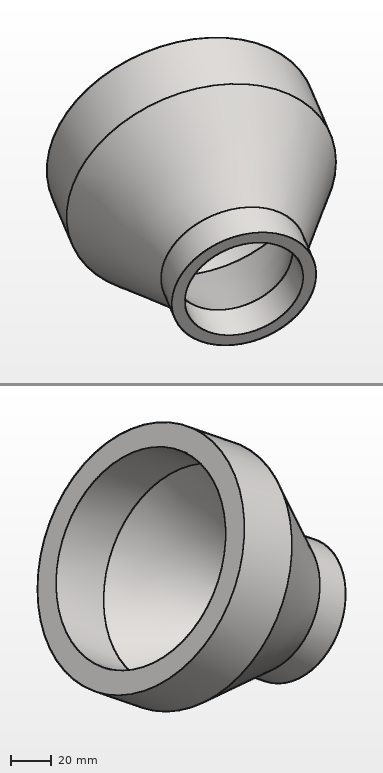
import cadquery as cq

large_outer_diameter = 140.0
large_bore_diameter = 114.7
small_outer_diameter = 75.0
small_bore_diameter = 61.5

large_end_length = 35.0
cone_length = 56.0
small_end_length = 19.0

cone_end = large_end_length + cone_length
total_length = cone_end + small_end_length


def reducer_body(large_diameter, small_diameter):
    """Solid of two cylinders joined by a cone, revolved about X."""
    large_radius = large_diameter / 2
    small_radius = small_diameter / 2
    return (
        cq.Workplane("XY")
        .moveTo(0, 0)
        .lineTo(0, large_radius)
        .lineTo(large_end_length, large_radius)
        .lineTo(cone_end, small_radius)
        .lineTo(total_length, small_radius)
        .lineTo(total_length, 0)
        .close()
        .revolve(360, (0, 0, 0), (1, 0, 0))
    )


outside = reducer_body(large_outer_diameter, small_outer_diameter)
bore = reducer_body(large_bore_diameter, small_bore_diameter)
result = outside.cut(bore)